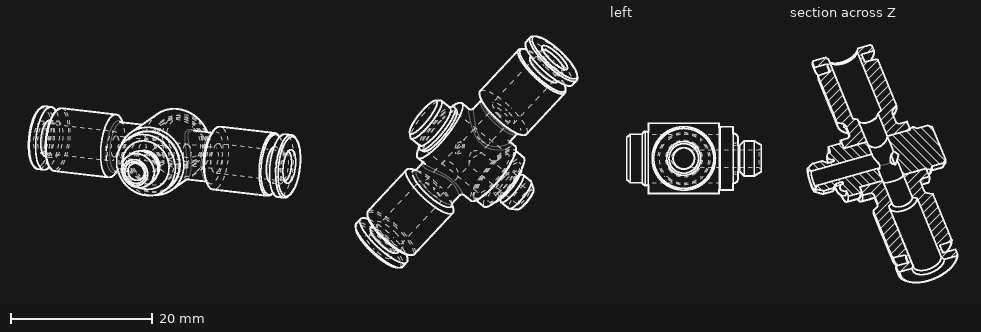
import cadquery as cq
import math


barrel_radius = 5.0
barrel_length = 10.0
barrel_end = barrel_length / 2
neck_radius = 3.5
neck_fillet = 0.5
cross_hole_radius = 1.5

sleeve_radius = 4.5
sleeve_inner_end = 7.95
sleeve_outer_end = 16.5
sleeve_inner_chamfer_length = 0.5
sleeve_inner_chamfer_depth = 0.8
sleeve_outer_chamfer_length = 0.2
sleeve_outer_chamfer_depth = 0.2
sleeve_face_crown = 0.12
shoulder_blend = 0.45

arm_end = 19.1
flange_thickness = 1.2
flange_chamfer = 0.25
stem_radius = 2.62
stem_taper_length = 0.2
stem_taper_depth = 0.05

socket_radius = 2.1
socket_floor = sleeve_inner_end
socket_chamfer_length = 0.5
socket_chamfer_depth = 0.3

shank_radius = 3.45
head_end = 8.1
head_chamfer_length = 0.53
head_chamfer_depth = 0.45
bead_radius = 3.88
bead_end = 5.9
bead_base_radius = 3.75
bead_fullness = 0.6
collar_radius = 4.5
collar_thickness = 1.82
collar_front = -7.0
collar_back = collar_front + collar_thickness
spacer_radius = 4.4
seal_tube_radius = 0.7
seal_ring_radius = 2.85
stud_radius = 2.5
stud_tip = -11.0
stud_root_radius = 1.9
stud_root_start = -7.95
stud_lead_in = 1.0

drill_radius = 1.25
drill_tip = 2.0
drill_chamfer = 0.35
drill_half_angle = math.radians(59)


def cone_length(radius_change):
    """Length of a drill-point cone over a given change of radius."""
    return radius_change / math.tan(drill_half_angle)


def spin_about_x(profile):
    return profile.close().revolve(360, (0, 0, 0), (1, 0, 0))


def spin_about_y(profile):
    return profile.close().revolve(360, (0, 0, 0), (0, 1, 0))


def along_y(radius, start, end):
    """Cylinder on the Y axis between two Y positions."""
    return cq.Workplane("XZ", origin=(0, start, 0)).circle(radius).extrude(start - end)


def necked_barrel():
    barrel = along_y(barrel_radius, -barrel_end, barrel_end)
    neck = cq.Workplane("YZ").circle(neck_radius).extrude(sleeve_inner_end, both=True)
    body = barrel.union(neck)
    margin = 0.1
    reach_x = barrel_radius + margin
    reach_yz = neck_radius + margin
    junction = cq.selectors.BoxSelector(
        (-reach_x, -reach_yz, -reach_yz),
        (reach_x, reach_yz, reach_yz),
        boundingbox=True,
    )
    return body.edges(junction).edges("not %LINE").fillet(neck_fillet)


def arm():
    """Sleeve, stem and release flange of the +X arm."""
    step_end = sleeve_inner_end - sleeve_inner_chamfer_length
    blend_start = step_end - shoulder_blend
    stem_start = sleeve_outer_end + sleeve_face_crown
    flange_start = arm_end - flange_thickness
    profile = (
        cq.Workplane("XY")
        .moveTo(blend_start, 0)
        .lineTo(blend_start, neck_radius)
        .spline(
            [(step_end, sleeve_radius - sleeve_inner_chamfer_depth)],
            tangents=[(1, 0), (1, 1)],
            includeCurrent=True,
        )
        .lineTo(sleeve_inner_end, sleeve_radius)
        .lineTo(sleeve_outer_end - sleeve_outer_chamfer_length, sleeve_radius)
        .lineTo(sleeve_outer_end, sleeve_radius - sleeve_outer_chamfer_depth)
        .lineTo(stem_start, stem_radius - stem_taper_depth)
        .lineTo(stem_start + stem_taper_length, stem_radius)
        .lineTo(flange_start - stem_taper_length, stem_radius)
        .lineTo(flange_start, stem_radius - stem_taper_depth)
        .lineTo(flange_start, sleeve_radius)
        .lineTo(arm_end - flange_chamfer, sleeve_radius)
        .lineTo(arm_end, sleeve_radius - flange_chamfer)
        .lineTo(arm_end, 0)
    )
    return spin_about_x(profile)


def socket():
    """Cutter for the tube socket of the +X arm."""
    floor_point = socket_floor - cone_length(socket_radius)
    profile = (
        cq.Workplane("XY")
        .moveTo(floor_point, 0)
        .lineTo(socket_floor, socket_radius)
        .lineTo(arm_end - socket_chamfer_length, socket_radius)
        .lineTo(arm_end, socket_radius + socket_chamfer_depth)
        .lineTo(arm_end, 0)
    )
    return spin_about_x(profile)


def cross_hole():
    return cq.Workplane("YZ").circle(cross_hole_radius).extrude(arm_end, both=True)


def make_housing():
    body = necked_barrel()
    for turn in (0, 180):
        body = body.union(arm().rotate((0, 0, 0), (0, 0, 1), turn))
    for turn in (0, 180):
        body = body.cut(socket().rotate((0, 0, 0), (0, 0, 1), turn))
    body = body.cut(along_y(shank_radius, -barrel_end, barrel_end))
    return body.cut(cross_hole())


def bolt_blank():
    bead_round = bead_radius - shank_radius
    bead_middle = bead_end - bead_round
    bead_shift = bead_round * bead_fullness
    root_cone = stud_radius - stud_root_radius
    profile = (
        cq.Workplane("XY")
        .moveTo(0, stud_tip)
        .lineTo(stud_root_radius, stud_tip)
        .lineTo(stud_radius, stud_tip + stud_lead_in)
        .lineTo(stud_radius, stud_root_start - root_cone)
        .lineTo(stud_root_radius, stud_root_start)
        .lineTo(stud_root_radius, collar_front)
        .lineTo(collar_radius, collar_front)
        .lineTo(collar_radius, collar_back)
        .lineTo(spacer_radius, collar_back)
        .lineTo(spacer_radius, -barrel_end)
        .lineTo(shank_radius, -barrel_end)
        .lineTo(shank_radius, barrel_end)
        .lineTo(bead_base_radius, barrel_end)
        .lineTo(bead_radius, bead_middle)
        .threePointArc(
            (shank_radius + bead_shift, bead_middle + bead_shift),
            (shank_radius, bead_end),
        )
        .lineTo(shank_radius, head_end - head_chamfer_length)
        .lineTo(shank_radius - head_chamfer_depth, head_end)
        .lineTo(0, head_end)
    )
    return spin_about_y(profile)


def seal_ring():
    """Rounded sealing ring standing half out of the collar face."""
    section = cq.Workplane("XY").center(seal_ring_radius, collar_front).circle(seal_tube_radius)
    return section.revolve(360, (-seal_ring_radius, 0, 0), (-seal_ring_radius, 1, 0))


def drilling():
    profile = (
        cq.Workplane("XY")
        .moveTo(0, stud_tip)
        .lineTo(drill_radius + drill_chamfer, stud_tip)
        .lineTo(drill_radius, stud_tip + drill_chamfer)
        .lineTo(drill_radius, drill_tip - cone_length(drill_radius))
        .lineTo(0, drill_tip)
    )
    return spin_about_y(profile)


def make_bolt():
    return bolt_blank().union(seal_ring()).cut(drilling()).cut(cross_hole())


housing = make_housing()
bolt = make_bolt()
result = cq.Compound.makeCompound([housing.val(), bolt.val()])